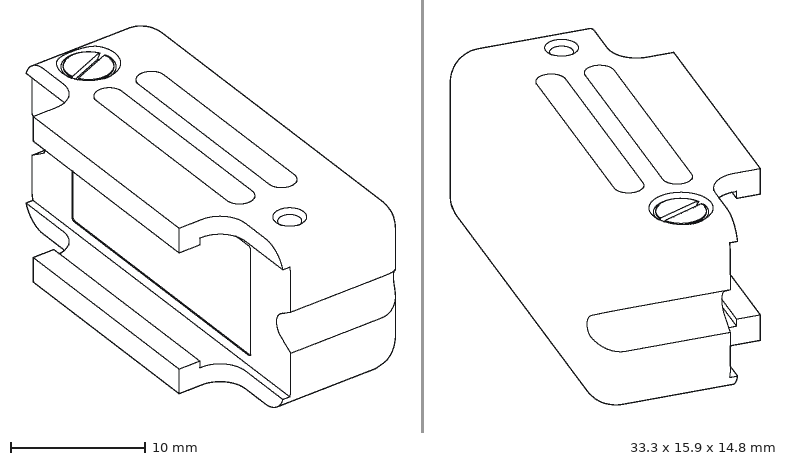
import cadquery as cq
import math

length = 33.27
depth = 15.87
height = 14.75
top = height / 2

side_radius = 2.35
back_radius = 2.5

block_depth = 10.8
block_front = depth - block_depth
flange_thickness = 1.6
shoulder_depth = 11.45
shoulder_front = depth - shoulder_depth
neck_half_width = 9.38
neck_radius = 2.33
lip_thickness = 2.2
lip_depth = 1.9

groove_half_width = 1.83
groove_depth = 1.83
groove_throat_half_width = 0.93
groove_throat_depth = 1.4

window_length = 22.95
window_height = 9.75
window_corner_radius = 0.25
window_recess = 0.1

slot_length = 19.03
slot_width = 2.3
slot_depth = 0.9
slot_floor_radius = 0.83
slot_setbacks = (5.75, 9.6)

fastener_y = depth - 8.25
screw_x = -12.95
screw_seat_radius = 2.4
screw_seat_depth = 0.33
screw_head_radius = 1.9
screw_head_rise = 0.1
screw_slot_width = 0.5
screw_slot_depth = 0.7
screw_slot_angle = 113
dimple_x = 12.9
dimple_radius = 1.25
dimple_depth = 0.35


def make_housing():
    """Rounded block, open toward the front between two flanges."""
    housing = cq.Workplane("XY").box(length, depth, height).translate((0, depth / 2, 0))
    housing = housing.edges("|Y").fillet(side_radius)
    housing = housing.faces(">Y").edges().fillet(back_radius)

    opening_height = height - 2 * flange_thickness
    lip_gap = height - 2 * lip_thickness
    opening = cq.Workplane("XY").box(length, block_front - lip_depth, opening_height)
    opening = opening.translate((0, (block_front + lip_depth) / 2, 0))
    between_lips = cq.Workplane("XY").box(length, lip_depth, lip_gap).translate((0, lip_depth / 2, 0))
    return housing.cut(opening).cut(between_lips)


def make_flange_corner(side):
    """Material removed beside the narrow neck of the flanges, with a concave corner."""
    neck_x = side * neck_half_width
    shoulder_x = side * (neck_half_width + neck_radius)
    arc_inset = neck_radius * (1 - math.sqrt(0.5))
    return (
        cq.Workplane("XY")
        .moveTo(neck_x, 0)
        .lineTo(neck_x, shoulder_front - neck_radius)
        .threePointArc(
            (neck_x + side * arc_inset, shoulder_front - arc_inset),
            (shoulder_x, shoulder_front),
        )
        .lineTo(side * length / 2, shoulder_front)
        .lineTo(side * length / 2, 0)
        .close()
        .extrude(top, both=True)
    )


def make_end_groove(side):
    """Flared groove with a round bottom, running the full depth of one end."""
    end_x = side * length / 2
    throat_x = end_x - side * groove_throat_depth
    return (
        cq.Workplane("XZ")
        .moveTo(end_x, groove_half_width)
        .lineTo(throat_x, groove_throat_half_width)
        .threePointArc((end_x - side * groove_depth, 0), (throat_x, -groove_throat_half_width))
        .lineTo(end_x, -groove_half_width)
        .close()
        .extrude(-depth)
    )


def make_window():
    window = cq.Workplane("XY").box(window_length, window_recess, window_height)
    window = window.edges("|Y").fillet(window_corner_radius)
    return window.translate((0, block_front + window_recess / 2, 0))


def make_grip_slot(setback):
    """Round-ended slot with a large radius between its walls and its floor."""
    slot = cq.Workplane("XY").slot2D(slot_length, slot_width).extrude(slot_depth)
    slot = slot.faces("<Z").edges().fillet(slot_floor_radius)
    return slot.translate((0, depth - setback, top - slot_depth))


def make_cone_sink(x, radius, sink_depth):
    """45 degree conical recess with a flat floor in the top face."""
    floor_radius = radius - sink_depth
    cone = cq.Solid.makeCone(floor_radius, radius, sink_depth)
    return cq.Workplane(cone).translate((x, fastener_y, top - sink_depth))


def make_screw_head():
    """Flat screw head standing slightly proud of the floor of its seat."""
    head = cq.Workplane("XY").circle(screw_head_radius).extrude(screw_head_rise)
    return head.translate((screw_x, fastener_y, top - screw_seat_depth))


def make_driver_slot():
    """Slot across the screw head, its sloping ends in line with the conical seat."""
    strip = (
        cq.Workplane("XY")
        .rect(2 * screw_seat_radius, screw_slot_width)
        .extrude(screw_slot_depth)
        .rotate((0, 0, 0), (0, 0, 1), screw_slot_angle)
        .translate((screw_x, fastener_y, top - screw_slot_depth))
    )
    return strip.intersect(make_cone_sink(screw_x, screw_seat_radius, screw_slot_depth))


result = make_housing().cut(make_window())
for side in (-1, 1):
    result = result.cut(make_flange_corner(side))
    result = result.cut(make_end_groove(side))
for setback in slot_setbacks:
    result = result.cut(make_grip_slot(setback))
result = result.cut(make_cone_sink(dimple_x, dimple_radius, dimple_depth))
result = result.cut(make_cone_sink(screw_x, screw_seat_radius, screw_seat_depth))
result = result.union(make_screw_head())
result = result.cut(make_driver_slot())